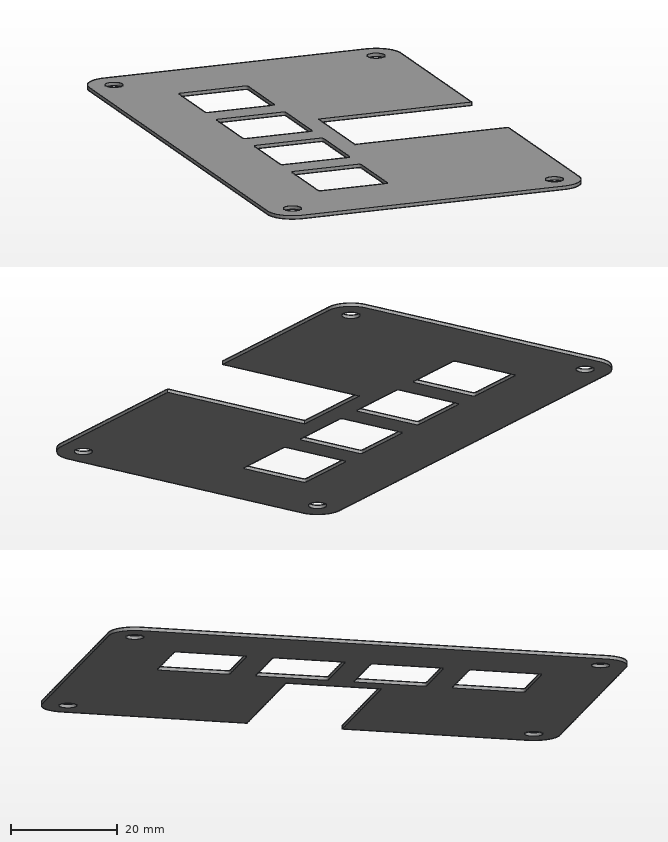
import cadquery as cq

length = 100.0
width = 63.0
thickness = 0.7
corner_radius = 5.0

hole_diameter = 3.4
hole_inset = corner_radius

notch_width = 18.4
notch_depth = 31.0

key_count = 4
key_size = 14.0
key_corner_radius = 0.5
key_pitch = 19.0
key_row_x = 0.4
key_row_y = -10.5


def make_plate():
    """Rounded rectangle centred on X and Y, resting on Z = 0."""
    blank = cq.Workplane("XY").box(length, width, thickness, centered=(True, True, False))
    return blank.edges("|Z").fillet(corner_radius)


def make_screw_holes():
    return (
        cq.Workplane("XY")
        .rect(length - 2 * hole_inset, width - 2 * hole_inset, forConstruction=True)
        .vertices()
        .circle(hole_diameter / 2)
        .extrude(thickness)
    )


def make_notch():
    return (
        cq.Workplane("XY")
        .center(0, width / 2 - notch_depth / 2)
        .rect(notch_width, notch_depth)
        .extrude(thickness)
    )


def make_key_cutouts():
    return (
        cq.Workplane("XY")
        .center(key_row_x, key_row_y)
        .rarray(key_pitch, 1, key_count, 1)
        .rect(key_size, key_size)
        .extrude(thickness)
        .edges("|Z")
        .fillet(key_corner_radius)
    )


result = make_plate().cut(make_screw_holes()).cut(make_notch()).cut(make_key_cutouts())